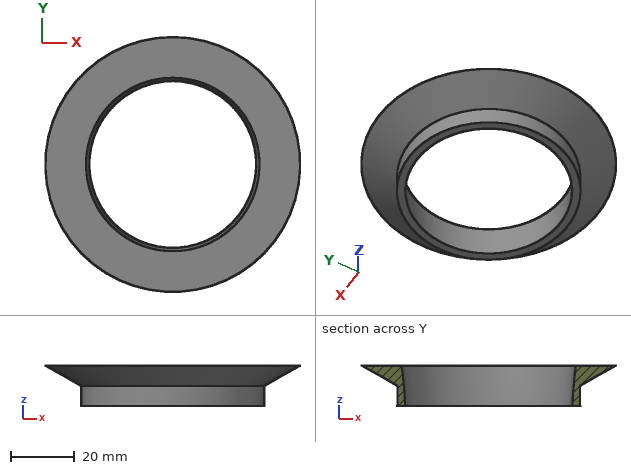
import cadquery as cq

height = 12.7
flange_diameter = 79.76
collar_diameter = 57.4
collar_height = height / 2

bore_top_diameter = 54.3
bore_bottom_diameter = 52.1


def ring_profile():
    """Half section of the ring in the YZ plane: Y is radius, Z is height."""
    return (
        cq.Workplane("YZ")
        .moveTo(bore_bottom_diameter / 2, 0)
        .lineTo(collar_diameter / 2, 0)
        .lineTo(collar_diameter / 2, collar_height)
        .lineTo(flange_diameter / 2, height)
        .lineTo(bore_top_diameter / 2, height)
        .close()
    )


result = ring_profile().revolve(360, (0, 0, 0), (0, 1, 0))